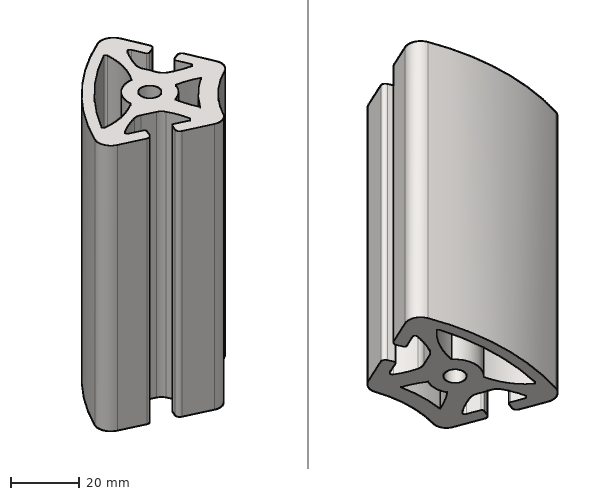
import cadquery as cq
import math

LENGTH = 100.0
SECTOR_ANGLE = 45.0
MID_RADIUS = 60.0
OUTER_RADIUS = 80.0
INNER_RADIUS = 40.0
OUTER_CORNER_RADIUS = 5.0
INNER_CORNER_RADIUS = 4.4

BORE_DIAMETER = 6.8
BOSS_RADIUS = 8.4

SLOT_OPENING = 8.0
LIP_THICKNESS = 4.4
SLOT_DEPTH = 12.3
SLOT_FLOOR_HALF_WIDTH = 3.8
SLOT_WALL_MIDDLE = (7.2, 9.35)
SLOT_SHOULDER_HALF_WIDTH = 10.9
SLOT_TIP_RADIUS = 0.8
SLOT_FLOOR_RADIUS = 4.0
LIP_OUTER_EDGE_RADIUS = 1.5
LIP_INNER_EDGE_RADIUS = 0.7

OUTER_WALL = 3.7
OUTER_RIB_START_ANGLE = -63.0
OUTER_RIB_MIDDLE = (9.5, -12.75)
OUTER_RIB_END_X = 13.3
OUTER_CHAMBER_TIP_RADIUS = 0.6
INNER_WALL = 5.8
INNER_RIB_START_ANGLE = 40.0
INNER_RIB_MIDDLE = (9.75, 7.7)
INNER_RIB_END_X = 12.95

axis_angle = math.radians(90 - SECTOR_ANGLE / 2)
apex_x = MID_RADIUS * math.cos(axis_angle)
apex_y = MID_RADIUS * math.sin(axis_angle)
slot_y = apex_y - MID_RADIUS


def mirrored(point):
    """Reflect a point in the bisector of the sector."""
    x, y = point
    c = math.cos(2 * axis_angle)
    s = math.sin(2 * axis_angle)
    return (x * c + y * s, x * s - y * c)


def on_axis(apex_distance):
    """Point on the bisector at a distance from the apex, measured towards the bore."""
    from_bore = MID_RADIUS - apex_distance
    return (from_bore * math.cos(axis_angle), from_bore * math.sin(axis_angle))


def on_apex_circle(radius, x):
    """Point at the given X on a circle about the apex, on its lower side."""
    return (x, apex_y - math.sqrt(radius**2 - (apex_x - x) ** 2))


def make_sector():
    outer_corner = on_apex_circle(OUTER_RADIUS, apex_x)
    inner_corner = on_apex_circle(INNER_RADIUS, apex_x)
    sector = (
        cq.Workplane("XY")
        .moveTo(*outer_corner)
        .lineTo(*inner_corner)
        .threePointArc(on_axis(INNER_RADIUS), mirrored(inner_corner))
        .lineTo(*mirrored(outer_corner))
        .threePointArc(on_axis(OUTER_RADIUS), outer_corner)
        .close()
        .extrude(LENGTH)
    )
    corner_radii = ((outer_corner, OUTER_CORNER_RADIUS), (inner_corner, INNER_CORNER_RADIUS))
    for corner, radius in corner_radii:
        for x, y in (corner, mirrored(corner)):
            sector = sector.edges(cq.NearestToPointSelector((x, y, LENGTH / 2))).fillet(radius)
    return sector


def make_slot_cavity():
    """Wide inner part of the T-slot in the +X face, behind the lips."""

    def at(across, depth):
        return (apex_x - depth, slot_y + across)

    mid_across, mid_depth = SLOT_WALL_MIDDLE
    return (
        cq.Workplane("XY")
        .moveTo(*at(-SLOT_SHOULDER_HALF_WIDTH, LIP_THICKNESS))
        .lineTo(*at(SLOT_SHOULDER_HALF_WIDTH, LIP_THICKNESS))
        .threePointArc(at(mid_across, mid_depth), at(SLOT_FLOOR_HALF_WIDTH, SLOT_DEPTH))
        .lineTo(*at(-SLOT_FLOOR_HALF_WIDTH, SLOT_DEPTH))
        .threePointArc(
            at(-mid_across, mid_depth), at(-SLOT_SHOULDER_HALF_WIDTH, LIP_THICKNESS)
        )
        .close()
        .extrude(LENGTH)
        .edges("|Z and >X")
        .fillet(SLOT_TIP_RADIUS)
        .edges("|Z and <X")
        .fillet(SLOT_FLOOR_RADIUS)
    )


def make_slot_mouth():
    """Opening between the lips, flared by the rounding of the four lip edges."""
    half_opening = SLOT_OPENING / 2
    mouth = (
        cq.Workplane("XY")
        .center(apex_x - LIP_THICKNESS / 2, slot_y)
        .rect(LIP_THICKNESS, SLOT_OPENING)
        .extrude(LENGTH)
    )
    lip_edges = (
        (apex_x, -1, LIP_OUTER_EDGE_RADIUS),
        (apex_x - LIP_THICKNESS, 1, LIP_INNER_EDGE_RADIUS),
    )
    for x, x_side, radius in lip_edges:
        for y_side in (-1, 1):
            y = slot_y + y_side * half_opening
            x_centre = x + x_side * radius
            y_centre = y + y_side * radius
            diagonal = radius * math.sqrt(0.5)
            flare = (
                cq.Workplane("XY")
                .moveTo(x, y)
                .lineTo(x, y_centre)
                .threePointArc(
                    (x_centre - x_side * diagonal, y_centre - y_side * diagonal), (x_centre, y)
                )
                .close()
                .extrude(LENGTH)
            )
            mouth = mouth.union(flare)
    return mouth


def mirror_solid(solid):
    """Reflect a solid in the bisector: flip Y, then turn by twice the bisector angle."""
    return solid.mirror("XZ").rotate((0, 0, 0), (0, 0, 1), math.degrees(2 * axis_angle))


def make_chamber(start_angle, rib_middle, rib_end_x, wall_radius, boss_side):
    """Hollow between the boss and a curved wall; boss_side is +1 towards the apex."""
    start = math.radians(start_angle)
    rib_start = (BOSS_RADIUS * math.cos(start), BOSS_RADIUS * math.sin(start))
    rib_end = on_apex_circle(wall_radius, rib_end_x)
    boss_middle = on_axis(MID_RADIUS - boss_side * BOSS_RADIUS)
    return (
        cq.Workplane("XY")
        .moveTo(*rib_start)
        .threePointArc(rib_middle, rib_end)
        .threePointArc(on_axis(wall_radius), mirrored(rib_end))
        .threePointArc(mirrored(rib_middle), mirrored(rib_start))
        .threePointArc(boss_middle, rib_start)
        .close()
        .extrude(LENGTH)
    )


def make_outer_chamber():
    chamber = make_chamber(
        OUTER_RIB_START_ANGLE, OUTER_RIB_MIDDLE, OUTER_RIB_END_X, OUTER_RADIUS - OUTER_WALL, -1
    )
    tips = chamber.edges("|Z and >X").add(chamber.edges("|Z and <X"))
    return tips.fillet(OUTER_CHAMBER_TIP_RADIUS)


def make_inner_chamber():
    return make_chamber(
        INNER_RIB_START_ANGLE, INNER_RIB_MIDDLE, INNER_RIB_END_X, INNER_RADIUS + INNER_WALL, 1
    )


slot = make_slot_mouth().union(make_slot_cavity())
bore = cq.Workplane("XY").circle(BORE_DIAMETER / 2).extrude(LENGTH)

result = make_sector()
for cutter in (slot, mirror_solid(slot), make_outer_chamber(), make_inner_chamber(), bore):
    result = result.cut(cutter)